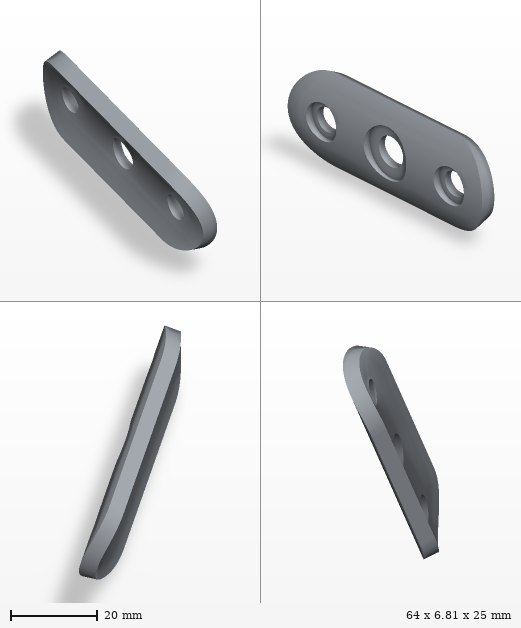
import cadquery as cq
import math

length = 64.0
outer_radius = 25.0
thickness = 4.0
half_angle = math.radians(30)
width = 2 * outer_radius * math.sin(half_angle)

center_hole_diameter = 8.0
center_bore_diameter = 14.0
side_hole_diameter = 6.5
side_bore_diameter = 10.0
side_hole_offset = 21.0
bore_depth = 2.0


def curved_plate():
    """Round-ended outline on the outer cylinder, thickened radially inward."""
    cylinder = cq.Workplane("YZ").circle(outer_radius).extrude(length, both=True)
    outline = cq.Workplane("XZ").slot2D(length, width).extrude(-2 * outer_radius)
    cap = cylinder.intersect(outline)
    outer_face = max(cap.faces("%CYLINDER").vals(), key=lambda face: face.Center().y)
    return cq.Workplane(outer_face.thicken(-thickness))


def counterbored_hole(x, hole_diameter, bore_diameter):
    """Cutter for a through hole with a flat counterbore on the convex side."""
    hole = cq.Workplane("XZ").center(x, 0).circle(hole_diameter / 2).extrude(-outer_radius)
    bore = (
        cq.Workplane("XZ", origin=(x, outer_radius - bore_depth, 0))
        .circle(bore_diameter / 2)
        .extrude(-2 * bore_depth)
    )
    return hole.union(bore)


cutters = counterbored_hole(0, center_hole_diameter, center_bore_diameter)
for side_x in (side_hole_offset, -side_hole_offset):
    cutters = cutters.union(counterbored_hole(side_x, side_hole_diameter, side_bore_diameter))

drilled_tube = (
    cq.Workplane("YZ", origin=(-length, 0, 0))
    .circle(outer_radius)
    .circle(outer_radius - thickness)
    .extrude(2 * length)
    .rotate((0, 0, 0), (1, 0, 0), 180)
    .cut(cutters)
)
result = drilled_tube.intersect(curved_plate())